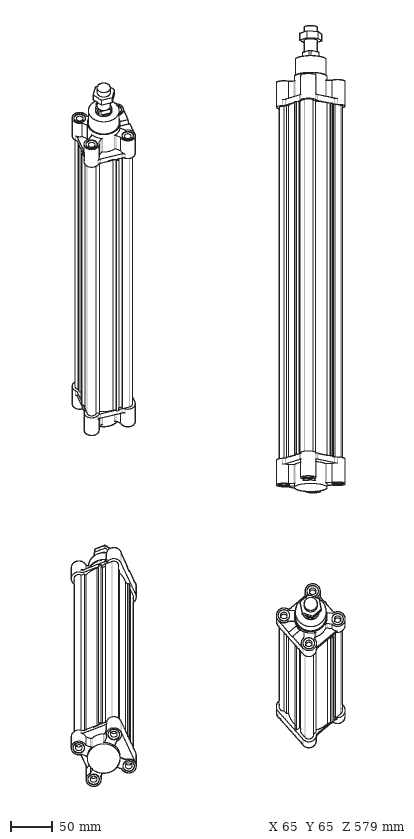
import cadquery as cq
import math

TOTAL_LENGTH = 579.0

CAP_WIDTH = 65.0
CAP_LENGTH = 31.0
BOSS_PITCH = 46.5
PLATE_WIDTH = 58.0
PLATE_THICKNESS = 7.5
PLATE_FILLET = 6.0
BOSS_RISE = 2.0
WEB_WIDTH = 13.5
WEB_FILLET = 2.0
VENT_DIAMETER = 7.0
SCREW_RECESS_DIAMETER = 14.0
SCREW_RECESS_DEPTH = 1.0
SCREW_HOLE_DIAMETER = 8.0
SCREW_HOLE_DEPTH = 11.5

COLLAR_DIAMETER = 40.0
REAR_COLLAR_LENGTH = 4.0
FRONT_COLLAR_LENGTH = 7.0
NOSE_DIAMETER = 37.5
NOSE_LENGTH = 21.5
NOSE_TOP = 538.5

BARREL_WIDTH = 58.0
BARREL_CORNER_DIAMETER = 11.5
TUBE_RADIUS = 28.0
SHOULDER_START = -18.5
SHOULDER_END = -14.5
TUBE_ARC_START = -13.5
TUBE_ARC_END = 3.0
RIDGE_START = 6.5
RIDGE_FOOT_HEIGHT = 29.0
RIDGE_HEIGHT = 30.5
SLOT_START = 9.0
SLOT_END = 14.5
SLOT_FLOOR_HEIGHT = 26.0

ROD_DIAMETER = 20.0
FLATS_WIDTH = 16.0
FLATS_LENGTH = 6.5
THREAD_DIAMETER = 16.0
THREAD_LENGTH = 32.0
NUT_ACROSS_FLATS = 24.0
NUT_THICKNESS = 8.5
NUT_SETBACK = 8.0

BOSS_OFFSET = BOSS_PITCH / 2
BOSS_RADIUS = CAP_WIDTH / 2 - BOSS_OFFSET
REAR_FACE = REAR_COLLAR_LENGTH
BARREL_BOTTOM = REAR_FACE + CAP_LENGTH
COLLAR_RADIUS = COLLAR_DIAMETER / 2
NUT_TOP = TOTAL_LENGTH - NUT_SETBACK
THREAD_START = TOTAL_LENGTH - THREAD_LENGTH
FLATS_START = THREAD_START - FLATS_LENGTH
COLLAR_TOP = NOSE_TOP - NOSE_LENGTH
FRONT_FACE = COLLAR_TOP - FRONT_COLLAR_LENGTH
BARREL_TOP = FRONT_FACE - CAP_LENGTH
BOSS_CENTERS = [(sx * BOSS_OFFSET, sy * BOSS_OFFSET) for sx in (-1, 1) for sy in (-1, 1)]


def cylinder(diameter, bottom, top):
    return cq.Workplane("XY").workplane(offset=bottom).circle(diameter / 2).extrude(top - bottom)


def quarter_turns(point, turns):
    """Turn a point about the Z axis by a number of right angles."""
    x, y = point
    for _ in range(turns):
        x, y = -y, x
    return x, y


def make_barrel():
    """Extruded tube profile: the same side repeated at four right angles."""
    half = BARREL_WIDTH / 2
    corner_radius = BARREL_CORNER_DIAMETER / 2
    corner = half - corner_radius
    shoulder_height = corner + math.sqrt(corner_radius**2 - (corner + SHOULDER_START) ** 2)
    corner_reach = corner + corner_radius * math.sqrt(0.5)

    def on_tube(x):
        return x, -math.sqrt(TUBE_RADIUS**2 - x**2)

    start = (SHOULDER_START, -shoulder_height)
    ridge_and_slot = [
        (RIDGE_START, -RIDGE_FOOT_HEIGHT),
        (RIDGE_START, -RIDGE_HEIGHT),
        (SLOT_START, -RIDGE_HEIGHT),
        (SLOT_START, -SLOT_FLOOR_HEIGHT),
        (SLOT_END, -SLOT_FLOOR_HEIGHT),
        (SLOT_END, -half),
        (corner, -half),
    ]
    profile = cq.Workplane("XY").workplane(offset=BARREL_BOTTOM).moveTo(*start)
    for turn in range(4):
        profile = profile.lineTo(*quarter_turns((SHOULDER_END, -shoulder_height), turn))
        profile = profile.lineTo(*quarter_turns(on_tube(TUBE_ARC_START), turn))
        profile = profile.threePointArc(
            quarter_turns((0, -TUBE_RADIUS), turn),
            quarter_turns(on_tube(TUBE_ARC_END), turn),
        )
        for point in ridge_and_slot:
            profile = profile.lineTo(*quarter_turns(point, turn))
        profile = profile.threePointArc(
            quarter_turns((corner_reach, -corner_reach), turn),
            quarter_turns(start, turn + 1),
        )
    return profile.close().extrude(BARREL_TOP - BARREL_BOTTOM)


def make_cap():
    """End cap with its barrel side at Z = 0 and its outer face at Z = CAP_LENGTH."""
    plate = cq.Workplane("XY").rect(PLATE_WIDTH, PLATE_WIDTH).extrude(PLATE_THICKNESS)
    boss_outlines = cq.Workplane("XY").pushPoints(BOSS_CENTERS).circle(BOSS_RADIUS)
    plate = plate.union(boss_outlines.extrude(PLATE_THICKNESS))
    half_plate = PLATE_WIDTH / 2
    corner_reach = BOSS_OFFSET - math.sqrt(BOSS_RADIUS**2 - (half_plate - BOSS_OFFSET) ** 2)
    for turn in range(4):
        for side in (-1, 1):
            x, y = quarter_turns((side * corner_reach, -half_plate), turn)
            edge_middle = (x, y, PLATE_THICKNESS / 2)
            plate = plate.edges(cq.NearestToPointSelector(edge_middle)).fillet(PLATE_FILLET)

    bosses = cq.Workplane("XY").pushPoints(BOSS_CENTERS).circle(BOSS_RADIUS).extrude(CAP_LENGTH)
    cap = plate.union(bosses)
    for angle in (45, 135):
        web = cq.Workplane("XY").rect(BOSS_PITCH * math.sqrt(2), WEB_WIDTH).extrude(CAP_LENGTH)
        cap = cap.union(web.rotate((0, 0, 0), (0, 0, 1), angle))

    port_block = (
        cq.Workplane("XY")
        .polyline([
            (0, 0),
            (BOSS_OFFSET, BOSS_OFFSET),
            (BOSS_OFFSET, CAP_WIDTH / 2),
            (-BOSS_OFFSET, CAP_WIDTH / 2),
            (-BOSS_OFFSET, BOSS_OFFSET),
        ])
        .close()
        .extrude(CAP_LENGTH - BOSS_RISE)
    )
    cap = cap.union(port_block)

    outer_face = cq.Workplane("XY").workplane(offset=CAP_LENGTH).pushPoints(BOSS_CENTERS)
    recesses = outer_face.circle(SCREW_RECESS_DIAMETER / 2).extrude(-SCREW_RECESS_DEPTH)
    holes = outer_face.circle(SCREW_HOLE_DIAMETER / 2).extrude(-SCREW_HOLE_DEPTH)
    return cap.cut(recesses).cut(holes)


def make_vent_groove():
    """Round groove across the front cap face, from the collar to the +Y side."""
    return (
        cq.Workplane("XZ", origin=(0, COLLAR_RADIUS, FRONT_FACE - BOSS_RISE))
        .circle(VENT_DIAMETER / 2)
        .extrude(-(CAP_WIDTH / 2 - COLLAR_RADIUS))
    )


def make_rod():
    shaft = cylinder(ROD_DIAMETER, BARREL_TOP, FLATS_START)
    flats = (
        cq.Workplane("XY")
        .workplane(offset=FLATS_START)
        .rect(FLATS_WIDTH, FLATS_WIDTH)
        .extrude(FLATS_LENGTH)
        .intersect(cylinder(ROD_DIAMETER, FLATS_START, THREAD_START))
    )
    thread = cylinder(THREAD_DIAMETER, THREAD_START, TOTAL_LENGTH)
    return shaft.union(flats).union(thread)


def fillet_webs(body):
    """Round the upright corners between the webs and the collar on both caps."""
    half_web_angle = math.degrees(math.asin(WEB_WIDTH / 2 / COLLAR_RADIUS))
    rear_middle = (REAR_FACE + BARREL_BOTTOM - PLATE_THICKNESS) / 2
    front_middle = (FRONT_FACE + BARREL_TOP + PLATE_THICKNESS) / 2
    for web_angle in (45, 135, 225, 315):
        for angle in (web_angle - half_web_angle, web_angle + half_web_angle):
            if 45 < angle < 135:
                continue
            x = COLLAR_RADIUS * math.cos(math.radians(angle))
            y = COLLAR_RADIUS * math.sin(math.radians(angle))
            for height in (rear_middle, front_middle):
                corner = cq.NearestToPointSelector((x, y, height))
                body = body.edges(corner).fillet(WEB_FILLET)
    return body


def make_housing():
    """Barrel, both end caps and collars, with a blind bore for the rod."""
    rear_cap = make_cap().mirror("XY").translate((0, 0, BARREL_BOTTOM))
    front_cap = make_cap().translate((0, 0, BARREL_TOP)).cut(make_vent_groove())
    rear_collar = cylinder(COLLAR_DIAMETER, 0, BARREL_BOTTOM)
    front_collar = cylinder(COLLAR_DIAMETER, BARREL_TOP, COLLAR_TOP)
    nose = cylinder(NOSE_DIAMETER, COLLAR_TOP, NOSE_TOP)
    body = make_barrel()
    for piece in (rear_cap, front_cap, rear_collar, front_collar, nose):
        body = body.union(piece)
    body = fillet_webs(body)
    return body.cut(cylinder(ROD_DIAMETER, BARREL_TOP, NOSE_TOP))


def make_nut():
    """Hexagon lock nut with two corners on the Y axis."""
    across_corners = NUT_ACROSS_FLATS / math.cos(math.pi / 6)
    nut = cq.Workplane("XY").polygon(6, across_corners).extrude(NUT_THICKNESS)
    nut = nut.rotate((0, 0, 0), (0, 0, 1), 30).translate((0, 0, NUT_TOP - NUT_THICKNESS))
    return nut.cut(cylinder(THREAD_DIAMETER, NUT_TOP - NUT_THICKNESS, NUT_TOP))


housing = make_housing()
rod = make_rod()
nut = make_nut()

result = cq.Compound.makeCompound([housing.val(), rod.val(), nut.val()])